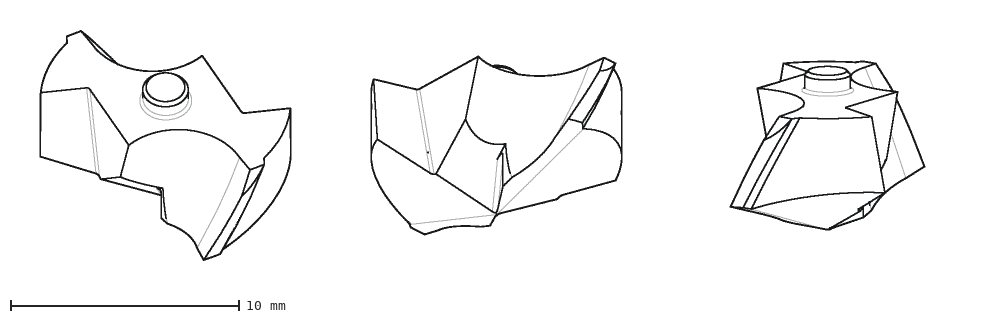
import cadquery as cq
import math

land_radius = 5.75
body_radius = 5.5
tip_depth = 6.29
twist_per_unit = 5.696
blank_depth = 6.44
tool_size = 23.0

flute_center = (4.46, -1.68)
flute_radius = 3.01
lip_angle = 14.3
land_end_angle = 21.5
step_end_angle = 24.5
heel_end_angle = -61.0
flute_heel_arc_angle = 219.0

notch_wall_y = 2.65
notch_corner_x = 2.22
notch_flank_angle = 70.7
notch_lean = 0.19
notch_corner_radius = 0.14

primary_slopes = (0.356, 0.07)
secondary_slopes = (0.356, 0.396)
gash_slopes = (1.06, -0.97)
gash_wall_angle = -34.0
gash_root_radius = 0.23
rake_y = -0.93
rake_end_x = 2.01

trim_x = 5.35
trim_depth = 1.26

pin_radius = 1.0
pin_height = 0.86
pin_chamfer_width = 0.15
pin_chamfer_height = 0.17
pin_root_radius = 0.14


def polar(radius, degrees, center=(0, 0)):
    angle = math.radians(degrees)
    return (center[0] + radius * math.cos(angle), center[1] + radius * math.sin(angle))


def half_turn(shape):
    return shape.rotate((0, 0, 0), (0, 0, 1), 180)


def cut_pair(body, tool):
    return body.cut(tool).cut(half_turn(tool))


def opposite(point):
    return (-point[0], -point[1])


def twisted_blank():
    flute_top = (flute_center[0], flute_center[1] + flute_radius)
    flute_middle_angle = (90 + flute_heel_arc_angle) / 2
    start = polar(land_radius, lip_angle)
    outline = cq.Workplane("XY").workplane(offset=-blank_depth).moveTo(*start)
    for place in (lambda p: p, opposite):
        outline = (
            outline.lineTo(*place(flute_top))
            .threePointArc(
                place(polar(flute_radius, flute_middle_angle, flute_center)),
                place(polar(flute_radius, flute_heel_arc_angle, flute_center)),
            )
            .lineTo(*place(polar(body_radius, heel_end_angle)))
            .threePointArc(
                place(polar(body_radius, (heel_end_angle + step_end_angle - 180) / 2)),
                place(polar(body_radius, step_end_angle - 180)),
            )
            .lineTo(*place(polar(land_radius, land_end_angle - 180)))
            .threePointArc(
                place(polar(land_radius, (land_end_angle + lip_angle) / 2 - 180)),
                place(polar(land_radius, lip_angle - 180)),
            )
        )
    twist = twist_per_unit * blank_depth
    return outline.close().twistExtrude(blank_depth, twist).rotate((0, 0, 0), (0, 0, 1), -twist)


def below_plane(slopes):
    """Block filling the space under a sloped plane through the tip."""
    plane = cq.Plane(
        origin=(0, 0, -tip_depth), xDir=(1, 0, slopes[0]), normal=(-slopes[0], -slopes[1], 1)
    )
    return cq.Workplane(plane).rect(2 * tool_size, 2 * tool_size).extrude(-tool_size)


def gash():
    """Wedge thinning the web: under the gash floor, on the -Y side of an upright wall."""
    wall_side = (
        cq.Workplane("XY")
        .box(2 * tool_size, tool_size, 2 * tool_size, centered=(True, False, True))
        .translate((0, -tool_size, 0))
        .rotate((0, 0, 0), (0, 0, 1), gash_wall_angle)
    )
    wedge = below_plane(gash_slopes).intersect(wall_side)
    wall = polar(1, gash_wall_angle)
    rise = gash_slopes[0] * wall[0] + gash_slopes[1] * wall[1]
    along_root = cq.selectors.ParallelDirSelector(cq.Vector(wall[0], wall[1], rise))
    at_tip = cq.NearestToPointSelector((0, 0, -tip_depth))
    return wedge.edges(along_root).edges(at_tip).fillet(gash_root_radius)


def rake_relief():
    """Material under the gash floor, outside the upright rake face."""
    outside = (
        cq.Workplane("XY")
        .box(rake_end_x, tool_size, tool_size, centered=False)
        .translate((0, rake_y - tool_size, -tool_size))
    )
    return below_plane(gash_slopes).intersect(outside)


def chip_notch():
    """Leaning prism on the +Y side, between a flat wall and the lobe's flank."""

    def section(depth):
        corner_x = notch_corner_x - notch_lean * depth
        run = polar(tool_size, notch_flank_angle)
        return cq.Wire.makePolygon(
            [
                cq.Vector(corner_x, notch_wall_y, -depth),
                cq.Vector(corner_x + run[0], notch_wall_y + run[1], -depth),
                cq.Vector(-tool_size, notch_wall_y + run[1], -depth),
                cq.Vector(-tool_size, notch_wall_y, -depth),
            ],
            close=True,
        )

    prism = cq.Workplane(cq.Solid.makeLoft([section(0), section(blank_depth)], True))
    corner = (notch_corner_x - notch_lean * blank_depth / 2, notch_wall_y, -blank_depth / 2)
    return prism.edges(cq.NearestToPointSelector(corner)).fillet(notch_corner_radius)


def land_trim():
    return (
        cq.Workplane("XZ")
        .polyline([(trim_x, 0), (land_radius, -trim_depth), (tool_size, -trim_depth), (tool_size, 0)])
        .close()
        .extrude(tool_size, both=True)
    )


def pin():
    return (
        cq.Workplane("XZ")
        .moveTo(0, -pin_root_radius)
        .lineTo(pin_radius + pin_root_radius, -pin_root_radius)
        .lineTo(pin_radius + pin_root_radius, 0)
        .radiusArc((pin_radius, pin_root_radius), pin_root_radius)
        .lineTo(pin_radius, pin_height - pin_chamfer_height)
        .lineTo(pin_radius - pin_chamfer_width, pin_height)
        .lineTo(0, pin_height)
        .close()
        .revolve(360, (0, 0, 0), (0, 1, 0))
    )


body = twisted_blank()
body = cut_pair(body, chip_notch())
for slopes in (primary_slopes, secondary_slopes):
    body = cut_pair(body, below_plane(slopes))
body = cut_pair(body, gash())
body = cut_pair(body, rake_relief())
body = cut_pair(body, land_trim())
result = body.union(pin())